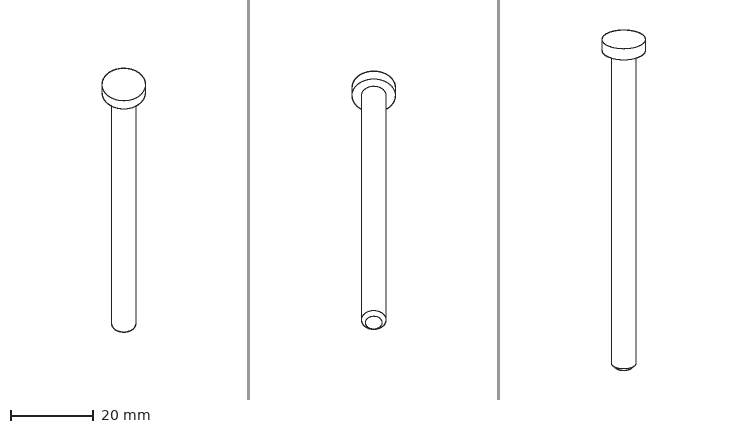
import cadquery as cq

total_length = 88.0
head_diameter = 10.6
head_height = 3.0
shank_diameter = 6.0
tip_diameter = 4.05
tip_height = 1.0

head_radius = head_diameter / 2
shank_radius = shank_diameter / 2
tip_radius = tip_diameter / 2
head_underside = total_length - head_height

half_section = (
    cq.Workplane("XZ")
    .moveTo(0, 0)
    .lineTo(tip_radius, 0)
    .lineTo(shank_radius, tip_height)
    .lineTo(shank_radius, head_underside)
    .lineTo(head_radius, head_underside)
    .lineTo(head_radius, total_length)
    .lineTo(0, total_length)
    .close()
)

result = half_section.revolve(360, (0, 0, 0), (0, 1, 0))